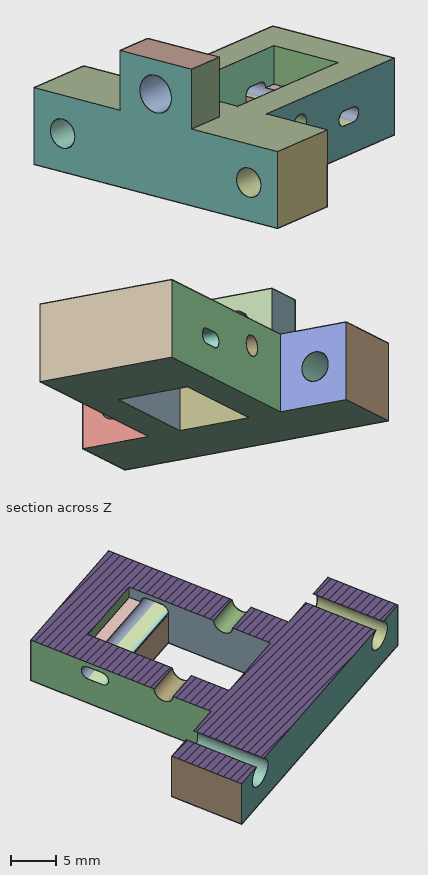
import cadquery as cq

bar_width = 34
bar_depth = 8.98
body_height = 9.0

total_depth = 32.0
frame_width = 17
window_width = 8.95
end_wall = 5.0

ledge_depth = 5.0
ledge_height = body_height / 2

lug_width = 10.0
lug_depth = 5.0
total_height = 16.0
lug_hole_diameter = 4.4
lug_hole_height = 12.0

mount_hole_diameter = 3.4
mount_hole_inset = 4.0

cross_hole_diameter = 2.4
cross_hole_setback = 17
cross_hole_y = total_depth - cross_hole_setback
cross_hole_height = 6.02
slot_height = 1.77
slot_length = 3.5
slot_y = total_depth - end_wall - ledge_depth + slot_length / 2


def block(width, y_front, y_back, height):
    """Block centred on x = 0 that stands on z = 0."""
    depth = y_back - y_front
    return cq.Workplane("XY").box(width, depth, height, (True, False, False)).translate((0, y_front, 0))


def hole_along_y(diameter, x, z, depth):
    """Cylinder that runs back from the front face."""
    return cq.Workplane("XZ").center(x, z).circle(diameter / 2).extrude(-depth)


body = block(bar_width, 0, bar_depth, body_height)
body = body.union(block(frame_width, 0, total_depth, body_height))
body = body.union(block(lug_width, 0, lug_depth, total_height))

window_back = total_depth - end_wall
window = block(window_width, bar_depth, window_back, body_height)
ledge = block(window_width, window_back - ledge_depth, window_back, ledge_height)
body = body.cut(window.cut(ledge))

body = body.cut(hole_along_y(lug_hole_diameter, 0, lug_hole_height, lug_depth))
mount_hole_x = bar_width / 2 - mount_hole_inset
for x in (-mount_hole_x, mount_hole_x):
    body = body.cut(hole_along_y(mount_hole_diameter, x, body_height / 2, bar_depth))

side = cq.Workplane("YZ", origin=(-frame_width / 2, 0, 0))
cross_hole = side.center(cross_hole_y, cross_hole_height).circle(cross_hole_diameter / 2).extrude(frame_width)
body = body.cut(cross_hole)

slot = side.center(slot_y, ledge_height).slot2D(slot_length, slot_height).extrude(frame_width)
result = body.cut(slot)